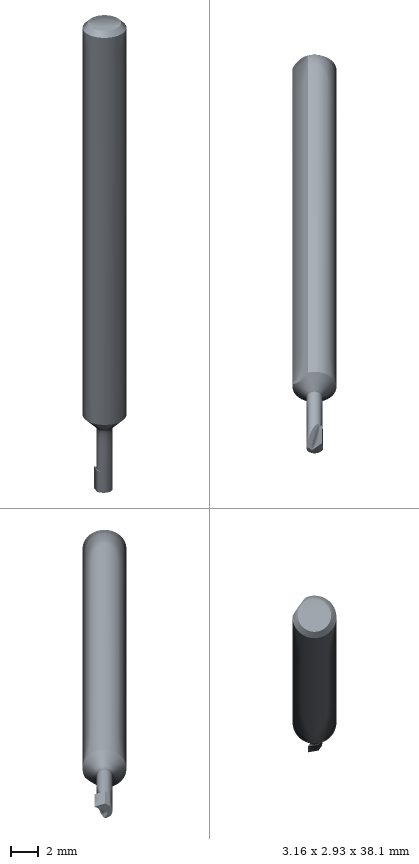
import cadquery as cq

overall_length = 38.1
shank_radius = 1.58
shank_flat_y = 1.353
shank_end_chamfer = 0.4
neck_radius = 0.57
shank_start_z = 6.17
neck_end_z = shank_start_z - (shank_radius - neck_radius)

tooth_height = 1.8
tooth_tip_x = -0.85
tooth_knee_x = -0.3
tooth_heel_x = 0.08

flute_top_z = 2.05
flute_axis_z = 0.7

end_slope_x = 0.07
end_slope_y = 0.05


def make_body():
    """Chamfered shank, conical shoulder and slim neck turned about Z."""
    profile = (
        cq.Workplane("XZ")
        .moveTo(0, 0)
        .lineTo(neck_radius, 0)
        .lineTo(neck_radius, neck_end_z)
        .lineTo(shank_radius, shank_start_z)
        .lineTo(shank_radius, overall_length - shank_end_chamfer)
        .lineTo(shank_radius - shank_end_chamfer, overall_length)
        .lineTo(0, overall_length)
        .close()
    )
    return profile.revolve(360, (0, 0, 0), (0, 1, 0))


def make_shank_flat():
    """Block that cuts the clamping flat along the +Y side."""
    return (
        cq.Workplane("XY")
        .box(2 * shank_radius, shank_radius, overall_length, centered=(True, False, False))
        .translate((0, shank_flat_y, 0))
    )


def make_tooth():
    """Tooth with its rake face on Y = 0, a slanted relief face and a flat back."""
    return (
        cq.Workplane("XY")
        .polyline([
            (tooth_tip_x, 0),
            (tooth_knee_x, -neck_radius),
            (tooth_heel_x, -neck_radius),
            (tooth_heel_x, 0),
        ])
        .close()
        .extrude(tooth_height)
    )


def make_flute():
    """Wedge on the +Y side whose floor runs out on the -X side of the neck."""
    floor_slope = neck_radius / (flute_top_z - flute_axis_z)
    floor_end_x = floor_slope * flute_axis_z
    return (
        cq.Workplane("XZ")
        .polyline([(-neck_radius, flute_top_z), (-neck_radius, 0), (floor_end_x, 0)])
        .close()
        .extrude(-neck_radius)
    )


def make_end_relief():
    """Block below the sloping end face, which passes through the cutting corner."""
    block_size = 4 * neck_radius
    end_face = cq.Plane(
        origin=(tooth_tip_x, 0, 0),
        xDir=(1, 0, end_slope_x),
        normal=(-end_slope_x, end_slope_y, 1),
    )
    return cq.Workplane(end_face).rect(2 * block_size, 2 * block_size).extrude(-block_size)


result = (
    make_body()
    .cut(make_shank_flat())
    .cut(make_flute())
    .union(make_tooth())
    .cut(make_end_relief())
)